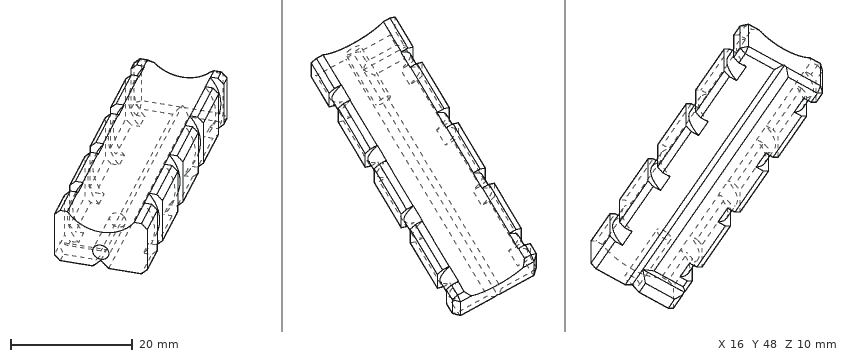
import cadquery as cq

width = 16.0
length = 48.0
height = 10.0
edge_chamfer = 1.0
front_y = -length / 2
back_y = length / 2

trough_radius = 7.0
trough_depth = 3.0

waist_radius = 7.5
waist_width = 3.0
cutter_size = 2 * width
waist_pitch = 12.0
waist_count = 4
first_waist_back_y = back_y - waist_width

hole_diameter = 2.8
hole_height = 3.0
hole_depth = 10.0

v_depth = 1.35
cross_groove_y = front_y + 3.35


def end_plane(start_y, height_z):
    """Workplane facing -Y at the given Y and height; negative extrusions run toward +Y."""
    return cq.Workplane("XZ", origin=(0, start_y, height_z))


def chamfered_bar():
    """Block with every edge chamfered except those of the square front end."""
    block = cq.Workplane("XY").box(width, length, height, centered=(True, True, False))
    return block.edges("|Y or >Y").chamfer(edge_chamfer)


def trough():
    center_z = height - trough_depth + trough_radius
    return end_plane(front_y, center_z).circle(trough_radius).extrude(-length)


def waist(waist_back_y):
    """Material outside a round core, over the width of one waist."""
    section = end_plane(waist_back_y, height / 2).rect(cutter_size, cutter_size)
    return section.circle(waist_radius).extrude(waist_width)


def end_hole():
    return end_plane(front_y, hole_height).circle(hole_diameter / 2).extrude(-hole_depth)


def v_profile(workplane):
    """Triangle with its base on the underside and its tip v_depth above."""
    return workplane.polyline([(-v_depth, 0), (v_depth, 0), (0, v_depth)]).close()


def lengthwise_groove():
    return v_profile(end_plane(front_y, 0)).extrude(-length)


def cross_groove():
    """V groove from the -X side to the lengthwise groove on the centre line."""
    side = cq.Workplane("YZ", origin=(-width / 2, cross_groove_y, 0))
    return v_profile(side).extrude(width / 2)


result = chamfered_bar().cut(trough())
for index in range(waist_count):
    result = result.cut(waist(first_waist_back_y - index * waist_pitch))
result = result.cut(end_hole())
result = result.cut(lengthwise_groove())
result = result.cut(cross_groove())